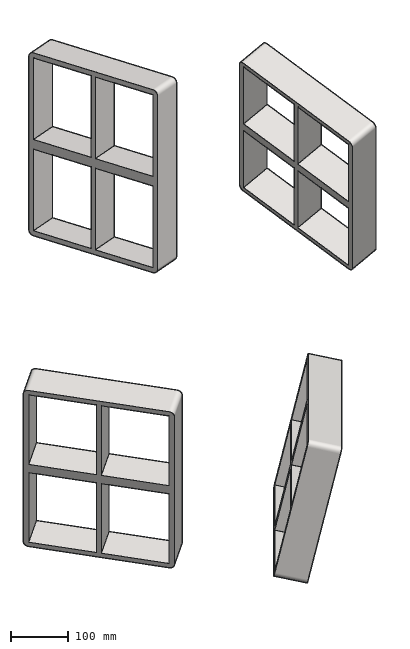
import cadquery as cq

width = 271.0
depth = 60.0
height = 359.0
rim = 10.0
corner_radius = 10.0

upright_thickness = 9.0
crossbar_thickness = 19.0

opening_width = (width - 2 * rim - upright_thickness) / 2
opening_height = (height - 2 * rim - crossbar_thickness) / 2
opening_pitch_x = opening_width + upright_thickness
opening_pitch_z = opening_height + crossbar_thickness

block = cq.Workplane("XY").box(width, depth, height)
block = block.edges("|Y").fillet(corner_radius)

openings = (
    cq.Workplane("XZ")
    .rarray(opening_pitch_x, opening_pitch_z, 2, 2)
    .rect(opening_width, opening_height)
    .extrude(depth, both=True)
)

result = block.cut(openings)